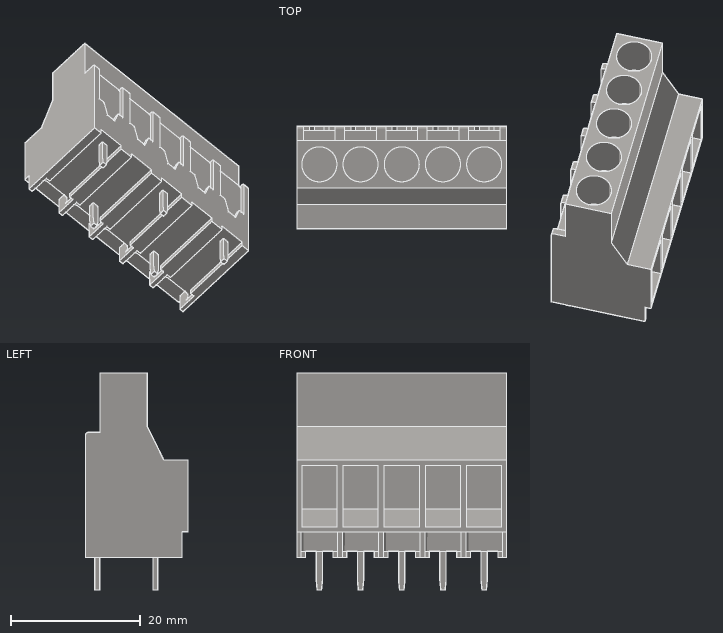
import cadquery as cq


POLE_COUNT = 5
PITCH = 6.35
END_ALLOWANCE = 0.6
LENGTH = POLE_COUNT * PITCH + END_ALLOWANCE
POLE_X = [(i - (POLE_COUNT - 1) / 2) * PITCH for i in range(POLE_COUNT)]

DEPTH = 15.85
HEIGHT = 28.5
TOWER_REAR = 2.25
TOWER_FRONT = 9.55
SLOPE_FOOT = 12.1
SLOPE_TOP_HEIGHT = 20.25
SHOULDER_HEIGHT = 15.1
LEDGE_HEIGHT = 19.35
LEDGE_RADIUS = 0.5
LIP_HEIGHT = 4.0
LIP_OVERHANG = 0.95
LEG_FRONT = DEPTH - LIP_OVERHANG

WELL_DIAMETER = 5.4
WELL_DEPTH = 8.0
WELL_CENTRE = (TOWER_REAR + TOWER_FRONT) / 2

ENTRY_WIDTH = 5.4
ENTRY_BOTTOM = 4.75
ENTRY_TOP = 14.2
ENTRY_FLOOR_DEPTH = 2.55
ENTRY_RAMP_RISE = 2.75
ENTRY_DEPTH = 5.1

FRONT_RECESS_WIDTH = 5.6
FRONT_RECESS_DEPTH = 2.45
FRONT_RECESS_RADIUS = 1.0
CHANNEL_WIDTH = 4.2
CHANNEL_HEIGHT = 1.0
CHANNEL_MOUTH_DEPTH = 3.2

REAR_RECESS_WIDTH = 4.9
REAR_RECESS_DEPTH = 0.65
REAR_RECESS_FLOOR = 10.0
REAR_PANEL_DROP = 0.5
TROUGH_TOP_WIDTH = 3.0
TROUGH_FLOOR_WIDTH = 1.5
TROUGH_DEPTH = 3.0

PIN_WIDTH = 1.0
PIN_TIP_WIDTH = 0.7
PIN_THICKNESS = 0.8
PIN_LENGTH = 5.0
PIN_TAPER_LENGTH = 1.5
PIN_ROW_REAR = 1.85
PIN_ROW_FRONT = 10.8


def box_between(x, width, front, rear, bottom, top):
    """Box centred on x, spanning depths front..rear and heights bottom..top."""
    return (
        cq.Workplane("XY")
        .box(width, front - rear, top - bottom, centered=(True, False, False))
        .translate((x, -front, bottom))
    )


def housing_blank():
    profile = [
        (0, 0),
        (0, LEDGE_HEIGHT),
        (-TOWER_REAR, LEDGE_HEIGHT),
        (-TOWER_REAR, HEIGHT),
        (-TOWER_FRONT, HEIGHT),
        (-TOWER_FRONT, SLOPE_TOP_HEIGHT),
        (-SLOPE_FOOT, SHOULDER_HEIGHT),
        (-DEPTH, SHOULDER_HEIGHT),
        (-DEPTH, LIP_HEIGHT),
        (-LEG_FRONT, LIP_HEIGHT),
        (-LEG_FRONT, 0),
    ]
    blank = cq.Workplane("YZ").polyline(profile).close().extrude(LENGTH / 2, both=True)
    ledge_edge = cq.selectors.NearestToPointSelector((0, 0, LEDGE_HEIGHT))
    return blank.edges(ledge_edge).fillet(LEDGE_RADIUS)


def screw_well(x):
    return (
        cq.Workplane("XY", origin=(x, -WELL_CENTRE, HEIGHT - WELL_DEPTH))
        .circle(WELL_DIAMETER / 2)
        .extrude(WELL_DEPTH)
    )


def wire_entry(x):
    profile = [
        (-DEPTH, ENTRY_BOTTOM),
        (ENTRY_FLOOR_DEPTH - DEPTH, ENTRY_BOTTOM),
        (ENTRY_DEPTH - DEPTH, ENTRY_BOTTOM + ENTRY_RAMP_RISE),
        (ENTRY_DEPTH - DEPTH, ENTRY_TOP),
        (-DEPTH, ENTRY_TOP),
    ]
    entry = cq.Workplane("YZ").polyline(profile).close().extrude(ENTRY_WIDTH / 2, both=True)
    return entry.translate((x, 0, 0))


def underside_clearance(x):
    """Round-cornered front recess, and a low channel running on to the rear face."""
    recess_rear = LEG_FRONT - FRONT_RECESS_DEPTH
    recess = (
        box_between(x, FRONT_RECESS_WIDTH, LEG_FRONT, recess_rear, 0, LIP_HEIGHT)
        .edges("|Z and >Y")
        .fillet(FRONT_RECESS_RADIUS)
    )
    mouth_rear = LEG_FRONT - CHANNEL_MOUTH_DEPTH
    mouth = box_between(x, FRONT_RECESS_WIDTH, LEG_FRONT, mouth_rear, 0, CHANNEL_HEIGHT)
    channel = box_between(x, CHANNEL_WIDTH, LEG_FRONT, 0, 0, CHANNEL_HEIGHT)
    return recess.union(mouth).union(channel)


def rear_recess(x):
    """Notch in the rear wall with a trough in its floor, and the lowered panel above."""
    profile = [
        (x - REAR_RECESS_WIDTH / 2, LEDGE_HEIGHT),
        (x - REAR_RECESS_WIDTH / 2, REAR_RECESS_FLOOR),
        (x - TROUGH_TOP_WIDTH / 2, REAR_RECESS_FLOOR),
        (x - TROUGH_FLOOR_WIDTH / 2, REAR_RECESS_FLOOR - TROUGH_DEPTH),
        (x + TROUGH_FLOOR_WIDTH / 2, REAR_RECESS_FLOOR - TROUGH_DEPTH),
        (x + TROUGH_TOP_WIDTH / 2, REAR_RECESS_FLOOR),
        (x + REAR_RECESS_WIDTH / 2, REAR_RECESS_FLOOR),
        (x + REAR_RECESS_WIDTH / 2, LEDGE_HEIGHT),
    ]
    notch = cq.Workplane("XZ").polyline(profile).close().extrude(REAR_RECESS_DEPTH)
    panel_height = LEDGE_HEIGHT - REAR_PANEL_DROP
    panel = box_between(x, REAR_RECESS_WIDTH, TOWER_REAR, 0, panel_height, LEDGE_HEIGHT)
    return notch.union(panel)


def make_housing():
    housing = housing_blank()
    for x in POLE_X:
        housing = housing.cut(screw_well(x))
        housing = housing.cut(wire_entry(x))
        housing = housing.cut(underside_clearance(x))
        housing = housing.cut(rear_recess(x))
    return housing


def make_pin(x, row_depth):
    """Flat pin hanging from the channel roof, its sides tapering towards the tip."""
    taper_start = PIN_TAPER_LENGTH - PIN_LENGTH
    profile = [
        (x - PIN_WIDTH / 2, CHANNEL_HEIGHT),
        (x - PIN_WIDTH / 2, taper_start),
        (x - PIN_TIP_WIDTH / 2, -PIN_LENGTH),
        (x + PIN_TIP_WIDTH / 2, -PIN_LENGTH),
        (x + PIN_WIDTH / 2, taper_start),
        (x + PIN_WIDTH / 2, CHANNEL_HEIGHT),
    ]
    pin_plane = cq.Workplane("XZ", origin=(0, -row_depth, 0))
    return pin_plane.polyline(profile).close().extrude(PIN_THICKNESS / 2, both=True)


housing = make_housing()

pins = []
for index, pole_x in enumerate(POLE_X):
    row = PIN_ROW_REAR if index % 2 == 0 else PIN_ROW_FRONT
    pins.append(make_pin(pole_x, row))

result = cq.Compound.makeCompound([housing.val(), *[pin.val() for pin in pins]])